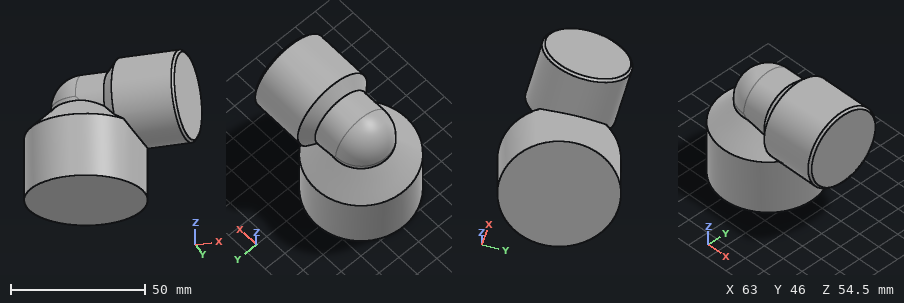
import cadquery as cq

overall_length = 63.0
overall_height = 54.5

socket_radius = 46.0 / 2
socket_height = 25.1
arm_radius = 35.0 / 2
neck_radius = 25.95 / 2
neck_end = 11.15
chamfer_length = 0.95
chamfer_depth = 0.95

arm_axis_height = overall_height - arm_radius
arm_end = overall_length - socket_radius
socket_shoulder_top = socket_height + socket_radius - neck_radius
arm_shoulder_end = neck_end + arm_radius - neck_radius


def make_socket():
    """Vertical socket with its conical shoulder and a neck up to the arm axis."""
    profile = [
        (0, 0),
        (socket_radius, 0),
        (socket_radius, socket_height),
        (neck_radius, socket_shoulder_top),
        (neck_radius, arm_axis_height),
        (0, arm_axis_height),
    ]
    return cq.Workplane("XZ").polyline(profile).close().revolve(360, (0, 0), (0, 1))


def make_arm():
    """Horizontal neck along +X, widening to the arm with a chamfered end."""
    profile = [
        (0, 0),
        (0, neck_radius),
        (neck_end, neck_radius),
        (arm_shoulder_end, arm_radius),
        (arm_end - chamfer_length, arm_radius),
        (arm_end, arm_radius - chamfer_depth),
        (arm_end, 0),
    ]
    arm = cq.Workplane("XZ").polyline(profile).close().revolve(360, (0, 0), (1, 0))
    return arm.translate((0, 0, arm_axis_height))


def make_corner():
    """Ball that rounds the outside of the bend."""
    return cq.Workplane("XY").sphere(neck_radius).translate((0, 0, arm_axis_height))


result = make_socket().union(make_arm()).union(make_corner())